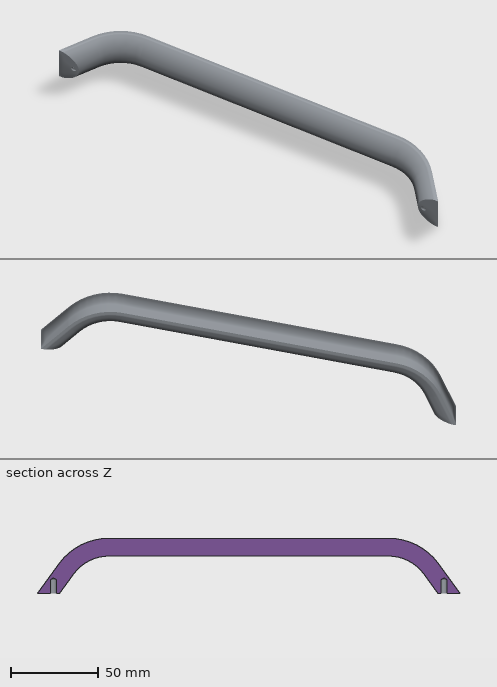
import cadquery as cq
import math

LENGTH = 243.0
HEIGHT = 32.0
WIDTH = 24.5
THICKNESS = 10.5
EDGE = 2.0
CORNER_RADIUS = 2.0
LEG_ANGLE = math.radians(54)
BEND_RADIUS = 35.5
HOLE_SPACING = 224.0
HOLE_DIAMETER = 3.3
HOLE_DEPTH = 8.0
DRILL_TIP_ANGLE = math.radians(118)

CORNER_X = LENGTH / 2 - HEIGHT / math.tan(LEG_ANGLE)
BEND_START_X = CORNER_X - BEND_RADIUS * math.tan(LEG_ANGLE / 2)
BEND_CENTRE_Y = HEIGHT - BEND_RADIUS
LEG_OVERRUN = 2 * THICKNESS
LEG_END = (
    LENGTH / 2 + LEG_OVERRUN * math.cos(LEG_ANGLE),
    -LEG_OVERRUN * math.sin(LEG_ANGLE),
)


def bend_point(angle):
    """Point on the outer face of the right bend, turned by angle from the grip."""
    x = BEND_START_X + BEND_RADIUS * math.sin(angle)
    y = BEND_CENTRE_Y + BEND_RADIUS * math.cos(angle)
    return x, y


def mirrored(point):
    return -point[0], point[1]


def make_path():
    """Centreline of the flat outer face, from the left leg to the right leg."""
    grip_end = (BEND_START_X, HEIGHT)
    bend_middle = bend_point(LEG_ANGLE / 2)
    bend_end = bend_point(LEG_ANGLE)
    return (
        cq.Workplane("XY")
        .moveTo(*mirrored(LEG_END))
        .lineTo(*mirrored(bend_end))
        .threePointArc(mirrored(bend_middle), mirrored(grip_end))
        .lineTo(*grip_end)
        .threePointArc(bend_middle, bend_end)
        .lineTo(*LEG_END)
    )


def make_section():
    """D-shaped section: local x from flat face to crown, local y along Z."""
    half_width = WIDTH / 2
    section = (
        cq.Sketch()
        .segment((0, half_width), (0, -half_width))
        .segment((EDGE, -half_width))
        .arc((THICKNESS, 0), (EDGE, half_width))
        .close()
        .assemble()
    )
    corners = section.vertices(">X")
    return corners.fillet(CORNER_RADIUS).reset()


def make_bar():
    """Section swept along the path, with its flat side outward."""
    section_plane = cq.Plane(
        origin=(-LEG_END[0], LEG_END[1], 0),
        xDir=(math.sin(LEG_ANGLE), -math.cos(LEG_ANGLE), 0),
        normal=(math.cos(LEG_ANGLE), math.sin(LEG_ANGLE), 0),
    )
    return (
        cq.Workplane(section_plane)
        .placeSketch(make_section())
        .sweep(make_path())
    )


def trim_feet(bar):
    """Keep the part of the bar above the mounting plane Y = 0."""
    keep = cq.Workplane("XY").box(
        2 * LENGTH, HEIGHT, 2 * WIDTH, centered=(True, False, True)
    )
    return bar.intersect(keep)


def drill_feet(bar):
    """Blind screw holes with a drill tip, one in each foot, along +Y."""
    radius = HOLE_DIAMETER / 2
    tip_depth = HOLE_DEPTH + radius / math.tan(DRILL_TIP_ANGLE / 2)
    drill = (
        cq.Workplane("XY")
        .polyline([(0, 0), (radius, 0), (radius, HOLE_DEPTH), (0, tip_depth)])
        .close()
        .revolve(360, (0, 0), (0, 1))
    )
    for side in (-1, 1):
        bar = bar.cut(drill.translate((side * HOLE_SPACING / 2, 0, 0)))
    return bar


result = drill_feet(trim_feet(make_bar()))